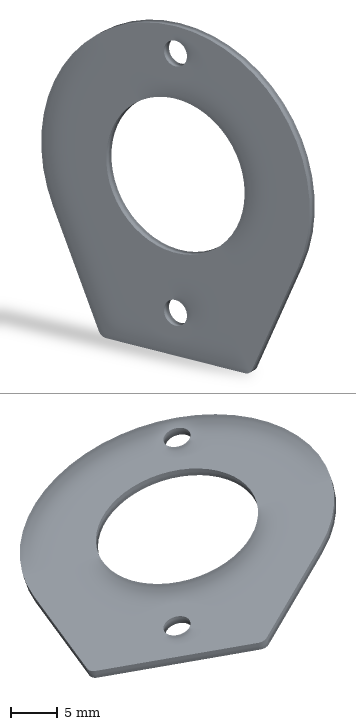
import cadquery as cq
import math

thickness = 1.0
height = 38.43
head_diameter = 34.9
bore_diameter = 18.0
pin_hole_diameter = 3.0
upper_hole_height = 14.25
lower_hole_depth = 16.0
foot_half_width = 9.7
foot_corner_radius = 1.0

head_radius = head_diameter / 2
foot_z = head_radius - height

corner_distance = math.hypot(foot_half_width, foot_z)
corner_angle = math.atan2(foot_z, foot_half_width)
tangent_angle = corner_angle + math.acos(head_radius / corner_distance)
tangent_x = head_radius * math.cos(tangent_angle)
tangent_z = head_radius * math.sin(tangent_angle)

plate = (
    cq.Workplane("XZ")
    .moveTo(-foot_half_width, foot_z)
    .lineTo(foot_half_width, foot_z)
    .lineTo(tangent_x, tangent_z)
    .threePointArc((0, head_radius), (-tangent_x, tangent_z))
    .close()
    .extrude(thickness)
)

foot_corners = cq.selectors.BoxSelector(
    (-head_radius, -thickness, foot_z - foot_corner_radius),
    (head_radius, 0, foot_z + foot_corner_radius),
)
plate = plate.edges("|Y").edges(foot_corners).fillet(foot_corner_radius)


def through_hole(diameter, z):
    """Cylinder along Y that cuts through the plate on its centreline."""
    return cq.Workplane("XZ").center(0, z).circle(diameter / 2).extrude(thickness)


result = plate.cut(through_hole(bore_diameter, 0))
for hole_z in (upper_hole_height, -lower_hole_depth):
    result = result.cut(through_hole(pin_hole_diameter, hole_z))